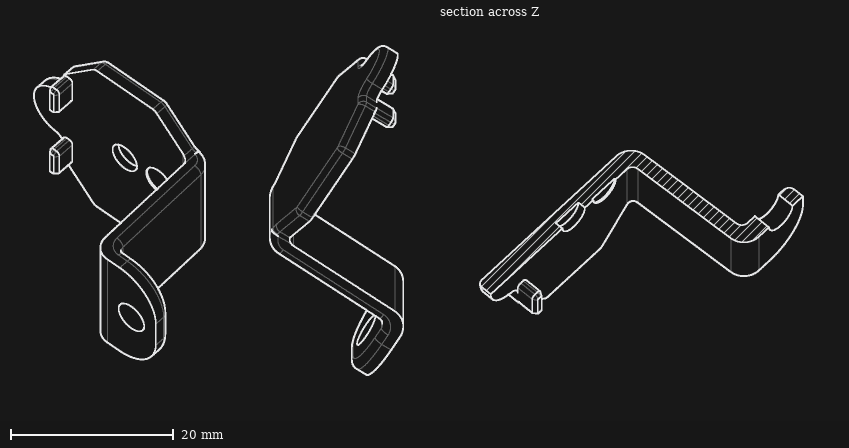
import cadquery as cq
import math

LENGTH = 36.48
DEPTH = 20.72
HEIGHT = 26.2

PLATE_THICKNESS = 2.25
PLATE_LEFT = 4.9
PLATE_MIDDLE = 14.95
LEFT_SIDE_HEIGHT = 15.98
CORNER_RADIUS = 1.0
PLATE_EDGE_RADIUS = 0.75

TONGUE_RADIUS = 4.0
TONGUE_BLEND_RADIUS = 1.5

BLIND_HOLE_DIAMETER = 4.0
BLIND_HOLE_SPACING = 5.55
MIDDLE_HOLE_DEPTH = 1.1
SIDE_HOLE_DEPTH = 0.2

BRACKET_HEIGHT = 16.05
WEB_TOP = 25.43
WEB_THICKNESS = 2.1
WEB_LEAN = 2.0
FLANGE_THICKNESS = 2.4
FLANGE_CORNER_RADIUS = 6.0
INNER_BEND_RADIUS = 1.0
OUTER_BEND_RADIUS = 2.48
BRACKET_EDGE_RADIUS = 1.0
MOUNT_HOLE_DIAMETER = 4.2
MOUNT_HOLE_X = 32.45

TAB_WIDTH = 1.45
TAB_HEIGHT = 4.2
TAB_REACH = 3.0
TAB_CORNER_RADIUS = 0.5
TAB_TIP_LENGTH = 0.6
TAB_TIP_INSET = 0.35

PLATE_FRONT = DEPTH - PLATE_THICKNESS
LEFT_SIDE_CUT = (HEIGHT - LEFT_SIDE_HEIGHT) / 2
FLAT_HALF_LENGTH = PLATE_MIDDLE - PLATE_LEFT - LEFT_SIDE_CUT
SLOPE_END = PLATE_MIDDLE + FLAT_HALF_LENGTH + (HEIGHT - BRACKET_HEIGHT) / 2
SEAM_X = SLOPE_END + CORNER_RADIUS * math.tan(math.radians(45 / 2))
TAB_X = PLATE_LEFT + TAB_WIDTH / 2
TAB_Z = (BRACKET_HEIGHT - TAB_HEIGHT) / 2


def nearest(x, y, z):
    """Selector for the edge whose middle is nearest to the point."""
    return cq.selectors.NearestToPointSelector((x, y, z))


def web_front_x(y):
    """X of the leaning web's front face at depth y."""
    return WEB_TOP + (PLATE_FRONT - y) * math.tan(math.radians(WEB_LEAN))


def web_back_x(y):
    """X of the leaning web's back face at depth y."""
    return web_front_x(y) + WEB_THICKNESS


def bent_sheet():
    """Plate, web and flange as one bent profile, as tall as the plate."""
    plate_inner_bend = (web_front_x(PLATE_FRONT), PLATE_FRONT)
    plate_outer_bend = (web_back_x(DEPTH), DEPTH)
    flange_inner_bend = (web_back_x(FLANGE_THICKNESS), FLANGE_THICKNESS)
    flange_outer_bend = (web_front_x(0), 0)
    profile = [
        (0, PLATE_FRONT),
        plate_inner_bend,
        flange_outer_bend,
        (LENGTH, 0),
        (LENGTH, FLANGE_THICKNESS),
        flange_inner_bend,
        plate_outer_bend,
        (0, DEPTH),
    ]
    sheet = cq.Workplane("XY").polyline(profile).close().extrude(HEIGHT / 2, both=True)
    for x, y in (plate_inner_bend, flange_inner_bend):
        sheet = sheet.edges(nearest(x, y, 0)).fillet(INNER_BEND_RADIUS)
    for x, y in (plate_outer_bend, flange_outer_bend):
        sheet = sheet.edges(nearest(x, y, 0)).fillet(OUTER_BEND_RADIUS)
    return sheet


def round_corners(block, corners, radius):
    """Round the block's edges along Y at the (x, z) corners and at their mirror images below."""
    for x, z in corners:
        for side in (1, -1):
            block = block.edges("|Y").edges(nearest(x, DEPTH / 2, side * z)).fillet(radius)
    return block


def outline_block():
    """Tongue, octagon and bracket outline in X and Z, carried through the whole depth."""
    slope_corners = [
        (PLATE_LEFT, LEFT_SIDE_HEIGHT / 2),
        (PLATE_MIDDLE - FLAT_HALF_LENGTH, HEIGHT / 2),
        (PLATE_MIDDLE + FLAT_HALF_LENGTH, HEIGHT / 2),
        (SLOPE_END, BRACKET_HEIGHT / 2),
    ]
    flange_corner = (LENGTH, BRACKET_HEIGHT / 2)
    upper = slope_corners + [flange_corner]
    lower = [(x, -z) for x, z in reversed(upper)]
    block = cq.Workplane("XZ").polyline(upper + lower).close().extrude(-DEPTH)
    block = round_corners(block, slope_corners, CORNER_RADIUS)
    block = round_corners(block, [flange_corner], FLANGE_CORNER_RADIUS)

    tongue = cq.Workplane("XZ").center(TONGUE_RADIUS, 0).circle(TONGUE_RADIUS).extrude(-DEPTH)
    root_z = math.sqrt(TONGUE_RADIUS**2 - (PLATE_LEFT - TONGUE_RADIUS) ** 2)
    return round_corners(block.union(tongue), [(PLATE_LEFT, root_z)], TONGUE_BLEND_RADIUS)


def slab(x_min, x_max):
    """Box as deep and tall as the part, between two X positions."""
    box = cq.Workplane("XY").box(x_max - x_min, DEPTH, HEIGHT, centered=(False, False, True))
    return box.translate((x_min, 0, 0))


def bent_body():
    """Bent sheet cut to the outline, with the back rims of plate and bracket rounded."""
    body = bent_sheet().intersect(outline_block())
    plate = body.intersect(slab(0, SEAM_X))
    bracket = body.intersect(slab(SEAM_X, LENGTH))
    plate = plate.edges(nearest(PLATE_MIDDLE, DEPTH, HEIGHT / 2)).fillet(PLATE_EDGE_RADIUS)
    bracket = bracket.edges(nearest(LENGTH, FLANGE_THICKNESS, 0)).fillet(BRACKET_EDGE_RADIUS)
    return plate.union(bracket)


def tab(z):
    """Tab with rounded corners and a tapered tip, flush with the plate's left side."""
    base = cq.Workplane("XZ", origin=(TAB_X, PLATE_FRONT, z))
    post = base.rect(TAB_WIDTH, TAB_HEIGHT).extrude(TAB_REACH)
    post = post.edges("|Y").fillet(TAB_CORNER_RADIUS)
    return post.faces("<Y").chamfer(TAB_TIP_LENGTH, TAB_TIP_INSET)


def hole(x, y, diameter, depth):
    """Cylinder to cut, running toward +Y from a front face at depth y."""
    return cq.Workplane("XZ", origin=(x, y, 0)).circle(diameter / 2).extrude(-depth)


result = bent_body()
for side in (1, -1):
    result = result.union(tab(side * TAB_Z))

side_hole_x = PLATE_MIDDLE + BLIND_HOLE_SPACING
result = result.cut(hole(PLATE_MIDDLE, PLATE_FRONT, BLIND_HOLE_DIAMETER, MIDDLE_HOLE_DEPTH))
result = result.cut(hole(side_hole_x, PLATE_FRONT, BLIND_HOLE_DIAMETER, SIDE_HOLE_DEPTH))
result = result.cut(hole(MOUNT_HOLE_X, 0, MOUNT_HOLE_DIAMETER, FLANGE_THICKNESS))